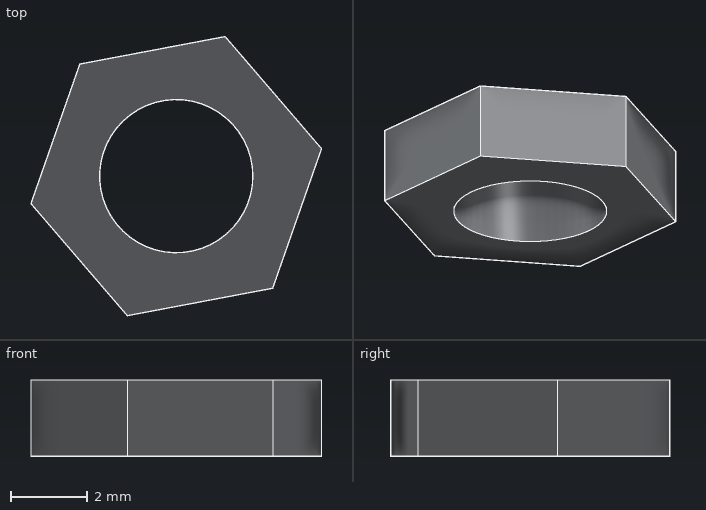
import cadquery as cq

ACROSS_CORNERS = 7.74
THICKNESS = 2.0
BORE_DIAMETER = 4.0
CORNER_ANGLE = 10.7
SIDES = 6


def hexagonal_body():
    """Hexagonal prism, turned about Z so a corner lies at CORNER_ANGLE."""
    prism = cq.Workplane("XY").polygon(SIDES, ACROSS_CORNERS).extrude(THICKNESS)
    return prism.rotate((0, 0, 0), (0, 0, 1), CORNER_ANGLE)


def bore():
    """Cylinder that cuts the through hole."""
    return cq.Workplane("XY").circle(BORE_DIAMETER / 2).extrude(THICKNESS)


result = hexagonal_body().cut(bore())